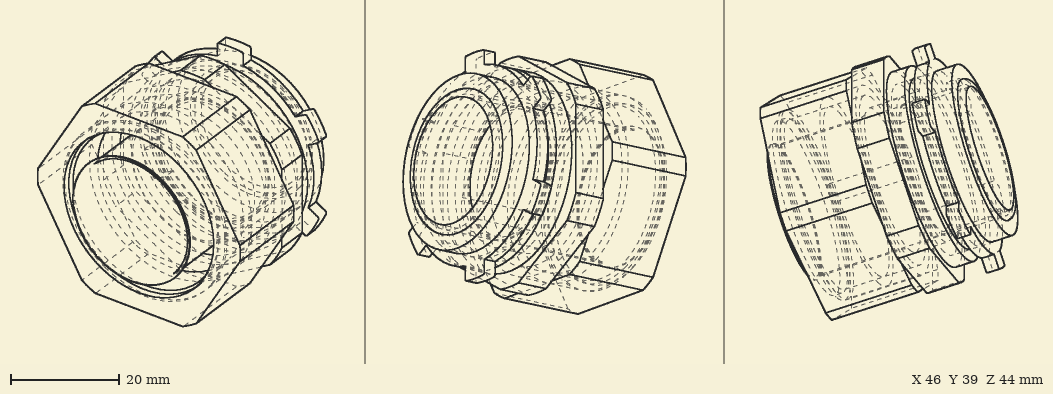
import cadquery as cq
import math


NUT_LENGTH = 17.1
NUT_ACROSS_FLATS = 41.5
NUT_CORNER_DIA = 46.0
NUT_MOUTH_DIA = 34.0
NUT_LIP = 1.5
CAVITY_DIA = 36.85

SOCKET_DIA = 33.0
RING_GAP = 0.65
RING_LENGTH = 7.8

HEX_LENGTH = 6.4
HEX_ACROSS_FLATS = 40.5
HEX_CORNER_DIA = 43.95
HEX_TURN = 30
THREAD_DIA = 33.25

COLLAR_DIA = 38.0
GASKET_LENGTH = 3.6
LOCKNUT_GAP = 2.0
LOCKNUT_LENGTH = 2.5
THREAD_END = 4.0
LUG_COUNT = 6
LUG_TIP_DIA = 43.6
LUG_WIDTH = 5.9
LUG_ROUND = 0.45

FERRULE_OVERHANG = 2.45
FERRULE_DIA = 25.5
FERRULE_BORE = 25.0
FERRULE_LIP_DIA = 26.5
FERRULE_LIP_BEND = 0.6
FERRULE_ROOT_DIA = 28.0
ROOT_SWEEP = math.radians(60)

THROAT_BORE = 24.0
THROAT_FLANGE_DIA = 27.5
THROAT_FLANGE = 1.0

NUT_FRONT = -NUT_LENGTH
LIP_BACK = NUT_FRONT + NUT_LIP
RING_FRONT = LIP_BACK + RING_GAP
RING_BACK = RING_FRONT + RING_LENGTH
FERRULE_FRONT = NUT_FRONT - FERRULE_OVERHANG
SOCKET_FLOOR = 0.0
HEX_BACK = HEX_LENGTH
GASKET_BACK = HEX_BACK + GASKET_LENGTH
LOCKNUT_FRONT = GASKET_BACK + LOCKNUT_GAP
THREAD_BACK = LOCKNUT_FRONT + LOCKNUT_LENGTH + THREAD_END


def cylinder(diameter, y_start, y_end):
    """Solid cylinder on the Y axis between two stations."""
    plane = cq.Workplane("XZ", origin=(0, y_start, 0))
    return plane.circle(diameter / 2).extrude(y_start - y_end)


def ring(outer_dia, inner_dia, y_start, y_end):
    """Plain ring on the Y axis."""
    return cylinder(outer_dia, y_start, y_end).cut(cylinder(inner_dia, y_start, y_end))


def hexagon(across_flats, corner_dia, turn, y_start, y_end):
    """Hexagonal prism with its corners turned down; a turn of 0 puts corners on X."""
    full_corner_dia = across_flats / math.cos(math.pi / 6)
    plane = cq.Workplane("XZ", origin=(0, y_start, 0))
    prism = plane.polygon(6, full_corner_dia).extrude(y_start - y_end)
    prism = prism.rotate((0, 0, 0), (0, 1, 0), turn)
    return prism.intersect(cylinder(corner_dia, y_start, y_end))


def make_gland_nut():
    nut = hexagon(NUT_ACROSS_FLATS, NUT_CORNER_DIA, 0, NUT_FRONT, 0)
    mouth = cylinder(NUT_MOUTH_DIA, NUT_FRONT, LIP_BACK)
    cavity = cylinder(CAVITY_DIA, LIP_BACK, 0)
    return nut.cut(mouth).cut(cavity)


def make_gland_ring():
    return ring(CAVITY_DIA, SOCKET_DIA, RING_FRONT, RING_BACK)


def make_body():
    spigot = cylinder(CAVITY_DIA, RING_BACK, HEX_BACK)
    hex_flange = hexagon(HEX_ACROSS_FLATS, HEX_CORNER_DIA, HEX_TURN, 0, HEX_BACK)
    thread = cylinder(THREAD_DIA, HEX_BACK, THREAD_BACK)
    socket = cylinder(SOCKET_DIA, RING_BACK, SOCKET_FLOOR)
    ferrule_seat = cylinder(FERRULE_ROOT_DIA, SOCKET_FLOOR, HEX_BACK)
    throat_seat = cylinder(FERRULE_DIA, HEX_BACK, THREAD_BACK)
    solid = hex_flange.union(spigot).union(thread)
    return solid.cut(socket).cut(ferrule_seat).cut(throat_seat)


def make_gasket():
    return ring(COLLAR_DIA, THREAD_DIA, HEX_BACK, GASKET_BACK)


def make_locknut():
    back = LOCKNUT_FRONT + LOCKNUT_LENGTH
    tip_disc = cylinder(LUG_TIP_DIA, LOCKNUT_FRONT, back)
    locknut = cylinder(COLLAR_DIA, LOCKNUT_FRONT, back)
    lug_reach = LUG_TIP_DIA / 2
    lug = (
        cq.Workplane("XY")
        .box(LUG_WIDTH, LOCKNUT_LENGTH, lug_reach, centered=(True, False, False))
        .translate((0, LOCKNUT_FRONT, 0))
        .intersect(tip_disc)
    )
    tip_corners = cq.selectors.BoxSelector(
        (-LUG_WIDTH, LOCKNUT_FRONT, COLLAR_DIA / 2), (LUG_WIDTH, back, lug_reach)
    )
    lug = lug.edges("|Y").edges(tip_corners).fillet(LUG_ROUND)
    for i in range(LUG_COUNT):
        locknut = locknut.union(lug.rotate((0, 0, 0), (0, 1, 0), i * 360 / LUG_COUNT))
    return locknut.cut(cylinder(THREAD_DIA, LOCKNUT_FRONT, back))


def make_ferrule():
    """Thin sleeve with a flared lip at the mouth, which widens along an arc to a collar at its root."""
    bore = FERRULE_BORE / 2
    outside = FERRULE_DIA / 2
    wall = outside - bore
    lip = FERRULE_LIP_DIA / 2
    root = FERRULE_ROOT_DIA / 2
    root_radius = (root - outside) / (1 - math.cos(ROOT_SWEEP))
    root_start = SOCKET_FLOOR - root_radius * math.sin(ROOT_SWEEP)
    outer_bend = FERRULE_LIP_BEND - wall
    bend_start = FERRULE_FRONT + FERRULE_LIP_BEND
    bend_centre = bore + FERRULE_LIP_BEND
    diagonal = math.sqrt(0.5)

    def bend_middle(radius):
        return (bend_centre - radius * diagonal, bend_start - radius * diagonal)

    def root_point(angle):
        return (
            outside + root_radius * (1 - math.cos(angle)),
            root_start + root_radius * math.sin(angle),
        )

    profile = (
        cq.Workplane("XY")
        .moveTo(bore, HEX_BACK)
        .lineTo(bore, bend_start)
        .threePointArc(bend_middle(FERRULE_LIP_BEND), (bend_centre, FERRULE_FRONT))
        .lineTo(lip, FERRULE_FRONT)
        .lineTo(lip, FERRULE_FRONT + wall)
        .lineTo(bend_centre, FERRULE_FRONT + wall)
        .threePointArc(bend_middle(outer_bend), (outside, bend_start))
        .lineTo(outside, root_start)
        .threePointArc(root_point(ROOT_SWEEP / 2), root_point(ROOT_SWEEP))
        .lineTo(root, HEX_BACK)
        .close()
    )
    return profile.revolve(360, (0, 0, 0), (0, 1, 0))


def make_throat_bushing():
    """Tube with a flange behind the thread whose rim is a full quarter round."""
    bore = THROAT_BORE / 2
    tube = FERRULE_DIA / 2
    rim = THROAT_FLANGE_DIA / 2
    back = THREAD_BACK + THROAT_FLANGE
    inset = THROAT_FLANGE * (1 - math.sqrt(0.5))
    profile = (
        cq.Workplane("XY")
        .moveTo(bore, HEX_BACK)
        .lineTo(tube, HEX_BACK)
        .lineTo(tube, THREAD_BACK)
        .lineTo(rim, THREAD_BACK)
        .threePointArc((rim - inset, back - inset), (rim - THROAT_FLANGE, back))
        .lineTo(bore, back)
        .close()
    )
    return profile.revolve(360, (0, 0, 0), (0, 1, 0))


gland_nut = make_gland_nut()
gland_ring = make_gland_ring()
body = make_body()
gasket = make_gasket()
locknut = make_locknut()
ferrule = make_ferrule()
throat_bushing = make_throat_bushing()

result = cq.Compound.makeCompound([
    gland_nut.val(),
    gland_ring.val(),
    body.val(),
    gasket.val(),
    locknut.val(),
    ferrule.val(),
    throat_bushing.val(),
])